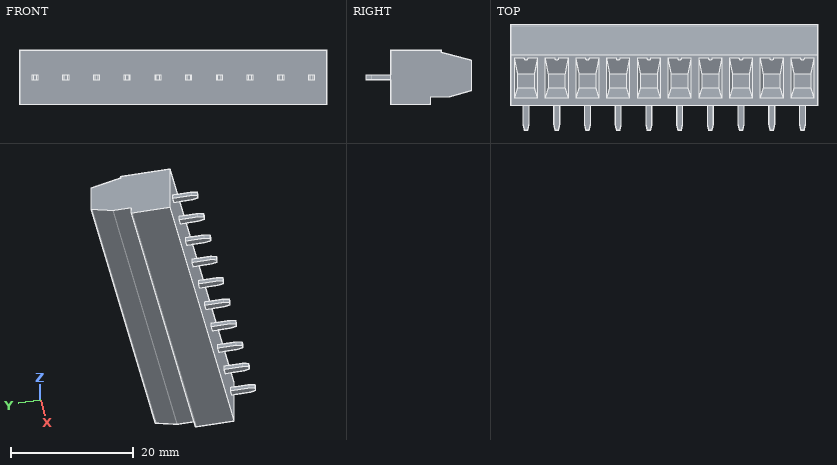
import cadquery as cq

length = 50.0
pole_count = 10
pitch = length / pole_count

depth = 13.2
height = 8.9
top_depth = 8.25
top_step = 0.35
nose_top = 7.25
nose_bottom = 2.3
lower_flat_end = 9.5
foot_depth = 6.5
foot_height = 1.25
nose_radius = 0.3
foot_radius = 0.2

mouth_width = 3.75
mouth_front = 1.2
mouth_back = 7.7
floor_width = 2.75
floor_front = 2.85
floor_back = 5.15
pocket_depth = 1.2

rib_radius = 0.3

pin_length = 4.05
pin_width = 1.0
pin_thickness = 0.8
pin_tip_width = 0.55
pin_taper = 0.95
pin_height = height / 2


def make_housing():
    """Extrude the stepped cross-section along X and round its small corners."""
    outline = [
        (0, 0),
        (foot_depth, 0),
        (foot_depth, foot_height),
        (lower_flat_end, foot_height),
        (depth, nose_bottom),
        (depth, nose_top),
        (top_depth, height - top_step),
        (top_depth, height),
        (0, height),
    ]
    body = cq.Workplane("YZ").polyline(outline).close().extrude(length)
    body = body.faces(">Y").edges("|X").fillet(nose_radius)
    foot_corner = cq.selectors.NearestToPointSelector((length / 2, foot_depth, 0))
    return body.edges("|X").edges(foot_corner).fillet(foot_radius)


def make_pocket(x):
    """Tapered pocket centred on x, less the half-round rib left at its back rim."""
    mouth_length = mouth_back - mouth_front
    mouth_middle = (mouth_front + mouth_back) / 2
    floor_middle = (floor_front + floor_back) / 2
    funnel = (
        cq.Workplane("XY", origin=(x, mouth_middle, height))
        .rect(mouth_width, mouth_length)
        .workplane(offset=-pocket_depth)
        .center(0, floor_middle - mouth_middle)
        .rect(floor_width, floor_back - floor_front)
        .loft(ruled=True)
    )
    rib = (
        cq.Workplane("XY", origin=(x, mouth_back, height))
        .circle(rib_radius)
        .extrude(-pocket_depth)
    )
    return funnel.cut(rib)


def make_pin(x):
    """Flat pin centred on x, narrowing to a blunt tip."""
    half_width = pin_width / 2
    half_tip = pin_tip_width / 2
    taper_start = pin_taper - pin_length
    outline = [
        (-half_width, 0),
        (-half_width, taper_start),
        (-half_tip, -pin_length),
        (half_tip, -pin_length),
        (half_width, taper_start),
        (half_width, 0),
    ]
    return (
        cq.Workplane("XY", origin=(x, 0, pin_height - pin_thickness / 2))
        .polyline(outline)
        .close()
        .extrude(pin_thickness)
    )


result = make_housing()
for pole in range(pole_count):
    pole_x = (pole + 0.5) * pitch
    result = result.cut(make_pocket(pole_x)).union(make_pin(pole_x))